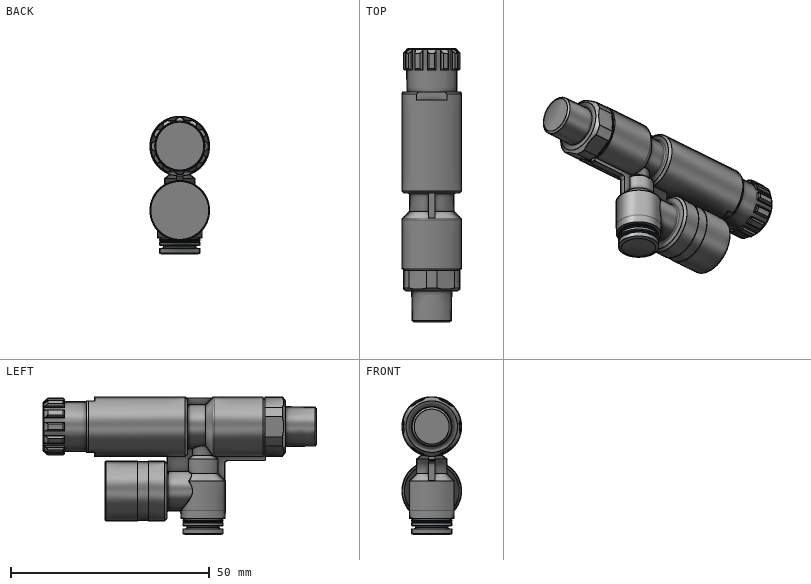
import cadquery as cq
import math

plug_tip_chamfer_y = 0.4
nut_front_y = 7.85
nut_chamfer_end_y = 8.6
nut_flats_end_y = 13.0
front_body_start_y = 13.45
cone_start_y = 26.0
cone_end_y = 27.9
rear_body_start_y = 32.45
rear_body_end_y = 57.95
knob_start_y = 63.5
overall_length = 68.9
overall_height = 34.7

plug_root_radius = 10.1 / 2
plug_end_radius = 9.85 / 2
plug_tip_radius = 4.4
nut_face_radius = 6.5
nut_corner_radius = 7.5
nut_across_flats = 14.1
nut_sides = 6
front_body_radius = 7.5
rear_body_radius = 7.5
waist_radius = 5.6
spindle_radius = 12.6 / 2

shoulder_chamfer = 0.6
cone_edge_fillet = 0.55
root_fillet = 0.35

wrench_flat_height = 6.5
wrench_flat_length = 2.1
rear_rim_length = 0.5
rear_rim_drop = 0.2

knob_radius = 7.2
knob_rib_count = 12
rib_base_width = 2.15
rib_top_width = 1.3
rib_shoulder_radius = 6.6
rib_root_depth = 0.7
rib_front_run = 1.25
rib_back_run = 0.35
rib_back_drop = 0.3
spindle_edge = 0.3

stem_y = 28.6
stem_neck_radius = 2.75
stem_collar_radius = 3.8
stem_radius = 5.65
stem_skirt_end_radius = 5.6
stem_neck_end_z = -7.3
stem_collar_start_z = -8.1
stem_collar_end_z = -11.85
stem_cone_end_z = stem_collar_end_z - (stem_radius - stem_collar_radius)
stem_skirt_z = -21.1
stem_end_z = -23.1
stem_bottom_z = rear_body_radius - overall_height
ring_radius = 10.1 / 2
ring_valley_radius = 4.75
ring_groove_radius = 4.05
ring_groove_flare = 0.35
upper_ring_start_z = -23.55
upper_ring_end_z = -23.8
ring_valley_z = -24.0
middle_ring_start_z = -24.25
middle_ring_end_z = -24.9
ring_groove_start_z = -25.1
ring_groove_flare_z = -25.4
lower_ring_start_z = -25.8
lower_ring_end_z = -26.95
stem_tip_radius = 4.3

branch_z = -16.2
branch_start_y = 37.6
branch_end_y = 53.25
branch_radius = 7.5
branch_neck_radius = 10.0 / 2
branch_rim_chamfer = 0.2
branch_band_radius = 7.45
branch_band_start_y = 42.3
branch_band_end_y = 45.1

web_thickness = 1.5
web_top_z = 7.25
web_foot_z = -8.55
web_foot_y = 12.8
web_front_y = 23.1
web_corner_fillet = 0.75
web_foot_chamfer = 0.3


def turned_y(points):
    """Solid of revolution about the main axis from (radius, y) points."""
    return cq.Workplane("XY").polyline(points).close().revolve(360, (0, 0, 0), (0, 1, 0))


def rod_y(radius, start_y, end_y, axis_z=0):
    """Round bar parallel to Y."""
    bar = cq.Workplane("XZ", origin=(0, start_y, axis_z)).circle(radius)
    return bar.extrude(start_y - end_y)


def waist(radius, shoulder_y, end_y, axis_z=0):
    """Round bar ending at a shoulder at its +Y end, with a concave fillet there."""
    profile = (
        cq.Workplane("XY", origin=(0, 0, axis_z))
        .moveTo(0, end_y)
        .lineTo(radius, end_y)
        .lineTo(radius, shoulder_y - root_fillet)
        .radiusArc((radius + root_fillet, shoulder_y), root_fillet)
        .lineTo(0, shoulder_y)
        .close()
    )
    return profile.revolve(360, (0, 0, 0), (0, 1, 0))


def plug():
    """Plug narrowing slightly towards its tip, which is chamfered."""
    return turned_y([
        (0, 0),
        (plug_tip_radius, 0),
        (plug_end_radius, plug_tip_chamfer_y),
        (plug_root_radius, nut_front_y),
        (0, nut_front_y),
    ])


def nut():
    """Hexagon with rounded corners and a chamfered face, plus a collar as wide as the flats."""
    blank = turned_y([
        (0, nut_front_y),
        (nut_face_radius, nut_front_y),
        (nut_corner_radius, nut_chamfer_end_y),
        (nut_corner_radius, nut_flats_end_y),
        (0, nut_flats_end_y),
    ])
    hexagon = (
        cq.Workplane("XZ", origin=(0, nut_front_y, 0))
        .polygon(nut_sides, nut_across_flats / math.cos(math.pi / nut_sides))
        .extrude(nut_front_y - nut_flats_end_y)
        .rotate((0, 0, 0), (0, 1, 0), 180 / nut_sides)
    )
    collar = rod_y(nut_across_flats / 2, nut_flats_end_y, front_body_start_y)
    return blank.intersect(hexagon).union(collar)


def front_body():
    """Cylinder tapering to the waist."""
    body = turned_y([
        (0, front_body_start_y),
        (front_body_radius, front_body_start_y),
        (front_body_radius, cone_start_y),
        (waist_radius, cone_end_y),
        (0, cone_end_y),
    ])
    cone_edge = cq.selectors.NearestToPointSelector((0, cone_start_y, 0))
    return body.edges(cone_edge).fillet(cone_edge_fillet)


def rear_body():
    """Cylinder with a chamfered front shoulder and two wrench flats at the rear."""
    body = turned_y([
        (0, rear_body_start_y),
        (rear_body_radius, rear_body_start_y),
        (rear_body_radius, rear_body_end_y - rear_rim_length),
        (rear_body_radius - rear_rim_drop, rear_body_end_y),
        (0, rear_body_end_y),
    ])
    body = body.faces("<Y").edges().chamfer(shoulder_chamfer)
    flat_start_y = rear_body_end_y - wrench_flat_length
    cut_height = rear_body_radius - wrench_flat_height
    for side in (1, -1):
        cutter = cq.Workplane("XY").box(
            2 * rear_body_radius, wrench_flat_length, cut_height, centered=(True, False, True)
        )
        cutter_z = side * (wrench_flat_height + cut_height / 2)
        body = body.cut(cutter.translate((0, flat_start_y, cutter_z)))
    return body


def knob():
    """Spindle with a ring of grip ribs at its end."""
    handle = turned_y([
        (0, rear_body_end_y),
        (spindle_radius, rear_body_end_y),
        (spindle_radius, overall_length - spindle_edge),
        (spindle_radius - spindle_edge, overall_length),
        (0, overall_length),
    ])
    envelope = turned_y([
        (0, knob_start_y),
        (knob_radius - rib_back_drop, knob_start_y),
        (knob_radius, knob_start_y + rib_back_run),
        (knob_radius, overall_length - rib_front_run),
        (spindle_radius - spindle_edge, overall_length),
        (0, overall_length),
    ])
    rib_root = spindle_radius - rib_root_depth
    rib_section = [
        (-rib_base_width / 2, rib_root),
        (-rib_base_width / 2, rib_shoulder_radius),
        (-rib_top_width / 2, knob_radius),
        (rib_top_width / 2, knob_radius),
        (rib_base_width / 2, rib_shoulder_radius),
        (rib_base_width / 2, rib_root),
    ]
    rib = (
        cq.Workplane("XZ", origin=(0, knob_start_y, 0))
        .polyline(rib_section)
        .close()
        .extrude(knob_start_y - overall_length)
        .intersect(envelope)
    )
    for index in range(knob_rib_count):
        angle = index * 360 / knob_rib_count
        handle = handle.union(rib.rotate((0, 0, 0), (0, 1, 0), angle))
    return handle


def stem():
    """Stepped vertical stem with sealing rings at its lower end."""
    profile = [
        (0, 0),
        (stem_neck_radius, 0),
        (stem_neck_radius, stem_neck_end_z),
        (stem_collar_radius, stem_collar_start_z),
        (stem_collar_radius, stem_collar_end_z),
        (stem_radius, stem_cone_end_z),
        (stem_radius, stem_skirt_z),
        (stem_skirt_end_radius, stem_end_z),
        (ring_valley_radius, stem_end_z),
        (ring_radius, upper_ring_start_z),
        (ring_radius, upper_ring_end_z),
        (ring_valley_radius, ring_valley_z),
        (ring_radius, middle_ring_start_z),
        (ring_radius, middle_ring_end_z),
        (ring_valley_radius, ring_groove_start_z),
        (ring_groove_radius, ring_groove_start_z),
        (ring_groove_radius, ring_groove_flare_z),
        (ring_groove_radius + ring_groove_flare, lower_ring_start_z),
        (ring_radius, lower_ring_start_z),
        (ring_radius, lower_ring_end_z),
        (stem_tip_radius, stem_bottom_z),
        (0, stem_bottom_z),
    ]
    outline = cq.Workplane("XZ", origin=(0, stem_y, 0)).polyline(profile).close()
    return outline.revolve(360, (0, 0, 0), (0, 1, 0))


def branch():
    """Side cylinder with a slightly recessed band, joined to the stem by a neck."""
    cap = rod_y(branch_radius, branch_start_y, branch_end_y, branch_z)
    cap = cap.faces("<Y").edges().chamfer(shoulder_chamfer)
    cap = cap.faces(">Y").edges().chamfer(branch_rim_chamfer)
    outer = rod_y(branch_radius, branch_band_start_y, branch_band_end_y, branch_z)
    inner = rod_y(branch_band_radius, branch_band_start_y, branch_band_end_y, branch_z)
    band_groove = outer.cut(inner)
    neck = waist(branch_neck_radius, branch_start_y, stem_y, branch_z)
    return cap.cut(band_groove).union(neck)


def web():
    """Thin plate in the YZ plane of symmetry."""
    outline = [
        (rear_body_start_y, web_top_z),
        (cone_start_y, web_top_z),
        (cone_start_y, 0),
        (web_foot_y, 0),
        (web_foot_y, web_foot_z),
        (web_front_y, web_foot_z),
        (web_front_y, branch_z),
        (branch_start_y, branch_z),
        (branch_start_y, 0),
        (rear_body_start_y, 0),
    ]
    plate = cq.Workplane("YZ").polyline(outline).close().extrude(web_thickness / 2, both=True)
    foot_corner = cq.selectors.NearestToPointSelector((0, web_foot_y, web_foot_z))
    inner_corner = cq.selectors.NearestToPointSelector((0, web_front_y, web_foot_z))
    plate = plate.edges("|X").edges(foot_corner).chamfer(web_foot_chamfer)
    return plate.edges("|X").edges(inner_corner).fillet(web_corner_fillet)


result = plug()
main_waist = waist(waist_radius, rear_body_start_y, cone_end_y)
for piece in (nut(), front_body(), main_waist, rear_body(), knob(), stem(), branch(), web()):
    result = result.union(piece)